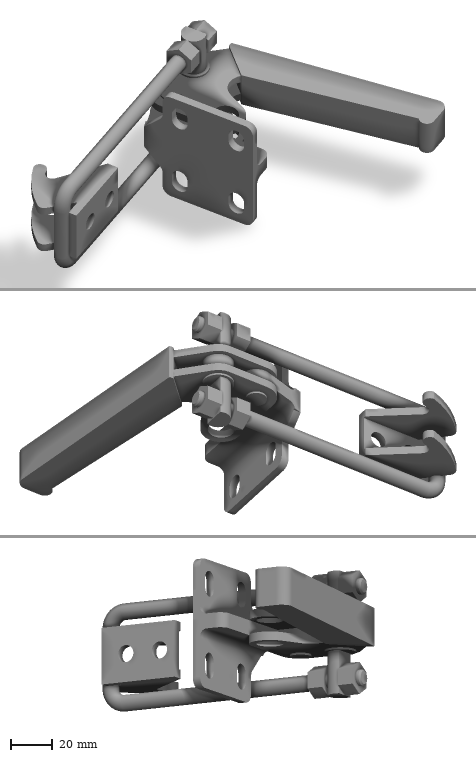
import cadquery as cq
import math


pivot_y = -22.1
link_pivot_x = 30.6
link_hole_radius = 6.6
lever_corner_radius = 10.1
waist_center = (29.5, 0)
waist_radius = 9.1
waist_start_angle = 135
shoulder_angle = 42
shoulder_length = 22.0
plate_gap = 7.5
plate_thickness = 4.2

grip_width = 19.0
grip_heel = (7.6, 21.1)
grip_heel_top_y = 23.3
grip_toe = (23.8, 5.2)
grip_right_x = 121.5
grip_far_top_y = 38.0
grip_corner_radius = 5.0
grip_heel_radius = 0.7
bead_radius = 3.9
bead_y = 23.0
bead_start = (114.0, 21.0)

trunnion_body_radius = 7.8
trunnion_end_radius = 6.3
trunnion_length = 60.8
trunnion_flat_y = 2.5
pin_radius = 5.2
pin_length = 17.9

rod_radius = 4.0
rod_offset = 22.6
rod_bend_radius = 7.8
rod_bottom_y = -131.7
rod_top_y = 13.2
rod_chamfer = 0.8
nut_width = 13.9
nut_height = 8.1

base_left_x = 10.3
base_right_x = 61.0
base_width = 64.0
base_back_y = -44.0
base_thickness = 4.0
base_corner_radius = 4.7
lug_radius = 7.8
lug_top_y = -30.6
lug_corner_radius = 4.9
lug_side_tilt = 17
lug_fillet = 3.5
tab_end_width = 12.5
tab_blend_radius = 5.0
slot_width = 8.6
slot_length = 12.8
slot_x = (20.0, 51.7)
slot_z = 20.3

hook_width = 28.0
hook_thickness = 4.4
hook_back_x = 8.3
hook_top_y = -87.5
hook_bottom_y = -128.1
hook_round = 3.5
hook_nose = (-24.2, -107.5)
hook_belly = (-21.8, -119.8)
hook_heel = (-9.8, -128.1)
hook_ramp_angle = 53
hook_hole_radius = 4.2
hook_hole_y = (-96.0, -114.8)


def on_circle(center, radius, angle):
    """Point on a circle at an angle in degrees."""
    turn = math.radians(angle)
    return (center[0] + radius * math.cos(turn), center[1] + radius * math.sin(turn))


def slab(outline, thickness):
    """Extrude an XY outline evenly to both sides of the mid-plane."""
    return outline.extrude(thickness).translate((0, 0, -thickness / 2))


def rod_along_z(x, y, radius, length):
    return slab(cq.Workplane("XY").center(x, y).circle(radius), length)


def lever():
    r = lever_corner_radius
    trunnion = (0, 0)
    pivot = (0, pivot_y)
    link = (link_pivot_x, pivot_y)

    dx = link[0] - waist_center[0]
    dy = link[1] - waist_center[1]
    spread = math.degrees(math.acos((waist_radius + r) / math.hypot(dx, dy)))
    waist_end_angle = math.degrees(math.atan2(dy, dx)) - spread
    link_start_angle = waist_end_angle + 180
    waist_middle_angle = (waist_start_angle + waist_end_angle + 360) / 2
    link_middle_angle = (link_start_angle - 90) / 2

    shoulder_normal = 90 + shoulder_angle
    shoulder_start = on_circle(trunnion, r, shoulder_normal)
    outline = (
        cq.Workplane("XY")
        .moveTo(*on_circle(pivot, r, 180))
        .lineTo(*on_circle(trunnion, r, 180))
        .threePointArc(on_circle(trunnion, r, (180 + shoulder_normal) / 2), shoulder_start)
        .lineTo(*on_circle(shoulder_start, shoulder_length, shoulder_angle))
        .lineTo(*on_circle(waist_center, waist_radius, waist_start_angle))
        .threePointArc(
            on_circle(waist_center, waist_radius, waist_middle_angle),
            on_circle(waist_center, waist_radius, waist_end_angle),
        )
        .lineTo(*on_circle(link, r, link_start_angle))
        .threePointArc(on_circle(link, r, link_middle_angle), on_circle(link, r, -90))
        .lineTo(*on_circle(pivot, r, -90))
        .threePointArc(on_circle(pivot, r, 225), on_circle(pivot, r, 180))
        .close()
        .moveTo(*link)
        .circle(link_hole_radius)
    )
    plate = outline.extrude(plate_thickness).translate((0, 0, plate_gap / 2))
    return plate.union(plate.mirror("XY"))


def grip():
    bead_x = grip_right_x - bead_radius
    heel_top = (grip_heel[0], grip_heel_top_y)
    far_top = (grip_right_x, grip_far_top_y)
    outline = cq.Workplane("XY").polyline(
        [grip_heel, heel_top, far_top, (grip_right_x, bead_y), (bead_x, bead_y), bead_start, grip_toe]
    ).close()
    body = slab(outline, grip_width)
    body = body.edges(cq.NearestToPointSelector((*far_top, 0))).fillet(grip_corner_radius)
    body = body.edges(cq.NearestToPointSelector((*heel_top, 0))).fillet(grip_heel_radius)
    return body.union(rod_along_z(bead_x, bead_y, bead_radius, grip_width))


def trunnion():
    ends = rod_along_z(0, 0, trunnion_end_radius, trunnion_length)
    relief = cq.Workplane("XY").box(
        2 * trunnion_end_radius, trunnion_end_radius, trunnion_length, centered=(True, False, True)
    ).translate((0, trunnion_flat_y, 0))
    body = rod_along_z(0, 0, trunnion_body_radius, pin_length)
    return ends.cut(relief).union(body)


def u_bolt():
    bend_y = rod_bottom_y + rod_radius + rod_bend_radius
    bend_z = rod_offset - rod_bend_radius
    crossbar_y = bend_y - rod_bend_radius
    upper_bend_middle = on_circle((bend_y, bend_z), rod_bend_radius, 135)
    lower_bend_middle = on_circle((bend_y, -bend_z), rod_bend_radius, 225)
    center_line = (
        cq.Workplane("YZ")
        .moveTo(rod_top_y, rod_offset)
        .lineTo(bend_y, rod_offset)
        .threePointArc(upper_bend_middle, (crossbar_y, bend_z))
        .lineTo(crossbar_y, -bend_z)
        .threePointArc(lower_bend_middle, (bend_y, -rod_offset))
        .lineTo(rod_top_y, -rod_offset)
    )
    rod = cq.Workplane("XZ", origin=(0, rod_top_y, rod_offset)).circle(rod_radius).sweep(center_line)
    bolt = rod.faces(">Y").chamfer(rod_chamfer)
    for seat_y in (trunnion_flat_y, -trunnion_end_radius - nut_height):
        upper_nut = nut(seat_y)
        bolt = bolt.union(upper_nut).union(upper_nut.mirror("XY"))
    return bolt


def nut(bottom_y):
    """Hexagon nut around the upper leg, with corners pointing along Z."""
    corner_diameter = nut_width / math.cos(math.radians(30))
    return (
        cq.Workplane("XZ", origin=(0, bottom_y, rod_offset))
        .transformed(rotate=(0, 0, 90))
        .polygon(6, corner_diameter)
        .extrude(-nut_height)
    )


def base():
    front_y = base_back_y - base_thickness
    length = base_right_x - base_left_x
    lug_half = plate_gap / 2
    tab_half = tab_end_width / 2

    plate = (
        cq.Workplane("XY")
        .box(length, base_thickness, base_width, centered=(False, False, True))
        .translate((base_left_x, front_y, 0))
        .edges("|Y")
        .fillet(base_corner_radius)
    )

    side_start = on_circle((0, pivot_y), lug_radius, 180 + lug_side_tilt)
    side_end_x = side_start[0] + (side_start[1] - front_y) * math.tan(math.radians(lug_side_tilt))

    tab_reach = base_left_x - side_end_x
    tab_root = tab_half + tab_reach
    blend_end = tab_root + 2 * tab_blend_radius
    tab = (
        cq.Workplane("XZ", origin=(0, front_y, 0))
        .moveTo(base_right_x, 0)
        .lineTo(side_start[0], 0)
        .lineTo(side_start[0], tab_half)
        .lineTo(side_end_x, tab_half)
        .lineTo(base_left_x, tab_root)
        .lineTo(base_left_x, blend_end)
        .lineTo(base_right_x, blend_end)
        .close()
        .extrude(-base_thickness - lug_fillet)
        .edges(cq.NearestToPointSelector((base_left_x, (front_y + base_back_y + lug_fillet) / 2, tab_root)))
        .fillet(tab_blend_radius)
    )
    section = (
        cq.Workplane("YZ", origin=(side_start[0], 0, 0))
        .moveTo(front_y, 0)
        .lineTo(front_y, blend_end)
        .lineTo(base_back_y, blend_end)
        .lineTo(base_back_y, lug_half + lug_fillet)
        .radiusArc((base_back_y + lug_fillet, lug_half), -lug_fillet)
        .lineTo(base_back_y + lug_fillet, 0)
        .close()
        .extrude(base_right_x - side_start[0])
    )
    half = tab.intersect(section)
    foot = half.union(half.mirror("XY"))

    lug_outline = (
        cq.Workplane("XY")
        .moveTo(*side_start)
        .threePointArc((0, pivot_y + lug_radius), (lug_radius, pivot_y))
        .lineTo(lug_radius, lug_top_y)
        .lineTo(base_right_x, lug_top_y)
        .lineTo(base_right_x, front_y)
        .lineTo(side_end_x, front_y)
        .close()
    )
    lug = slab(lug_outline, plate_gap)
    lug = lug.edges(cq.NearestToPointSelector((base_right_x, lug_top_y, 0))).fillet(lug_corner_radius)

    trim = slab(
        cq.Workplane("XY").polyline([side_start, (side_end_x, front_y), (side_start[0], front_y)]).close(),
        base_width,
    )
    slots = (
        cq.Workplane("XZ", origin=(0, front_y, 0))
        .pushPoints([(x, z) for x in slot_x for z in (-slot_z, slot_z)])
        .slot2D(slot_length, slot_width, 90)
        .extrude(-base_thickness)
    )
    return plate.union(foot).cut(trim).union(lug).cut(slots)


def hook():
    r = hook_round
    web_face_x = hook_back_x - hook_thickness
    throat = (hook_nose[0] + 2 * r, hook_nose[1])
    ramp_normal = hook_ramp_angle - 90
    ramp_start = on_circle(throat, r, ramp_normal)
    ramp_run = (hook_top_y - ramp_start[1]) / math.tan(math.radians(hook_ramp_angle))
    heel_end = on_circle(hook_heel, r, -45)
    cheek_outline = (
        cq.Workplane("XY")
        .moveTo(*on_circle(hook_nose, r, 180))
        .threePointArc(on_circle(hook_nose, r, 90), on_circle(hook_nose, r, 0))
        .threePointArc(on_circle(throat, r, (180 + 360 + ramp_normal) / 2), ramp_start)
        .lineTo(ramp_start[0] + ramp_run, hook_top_y)
        .lineTo(hook_back_x, hook_top_y)
        .lineTo(hook_back_x, hook_bottom_y)
        .lineTo(web_face_x, hook_bottom_y)
        .lineTo(web_face_x, heel_end[1] + web_face_x - heel_end[0])
        .lineTo(*heel_end)
        .threePointArc(on_circle(hook_heel, r, -90), on_circle(hook_heel, r, 225))
        .threePointArc(hook_belly, on_circle(hook_nose, r, 180))
        .close()
    )
    body = slab(cheek_outline, hook_width)
    channel = cq.Workplane("XY").box(
        web_face_x - hook_nose[0] + r, hook_top_y - rod_bottom_y, hook_width - 2 * hook_thickness,
        centered=(False, False, True),
    ).translate((hook_nose[0] - r, rod_bottom_y, 0))
    holes = (
        cq.Workplane("YZ", origin=(web_face_x, 0, 0))
        .pushPoints([(y, 0) for y in hook_hole_y])
        .circle(hook_hole_radius)
        .extrude(hook_thickness)
    )
    return body.cut(channel).cut(holes)


pin = rod_along_z(0, pivot_y, pin_radius, pin_length)
clamp = base().union(pin).union(lever()).union(grip()).union(trunnion())
result = clamp.union(hook()).union(u_bolt())